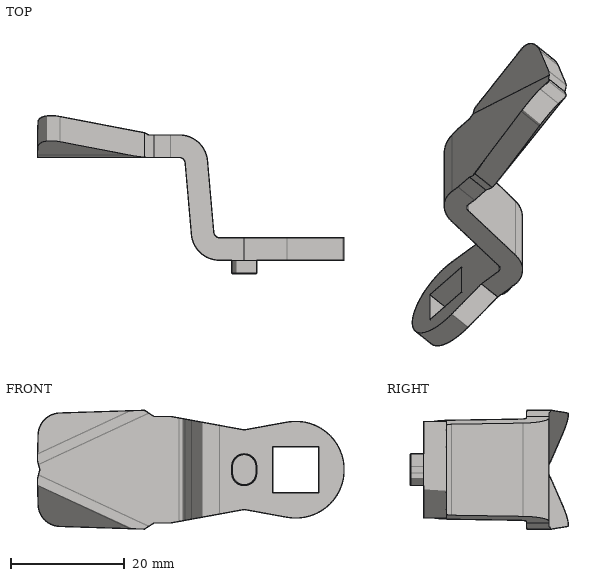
import cadquery as cq
import math

thickness = 4.0

hub_radius = 8.5
square_side = 8.05

waist_x = -9.05
waist_half = 7.0
neck_start_x = -22.0
neck_half = 9.4
shoulder_x = -24.9
wing_start_x = -26.6
wing_half = 10.45
tip_x = hub_radius - 53.95
tip_corner_x = tip_x + 0.2
tip_half = 9.85
tip_radius = 4.0

arm_front = 18.1
web_foot_x = -17.95
web_lean = math.radians(5)
inner_bend = 1.0
outer_bend = inner_bend + thickness

notch_depth = 0.45
notch_half = 1.6

fold_angle = 26
fold_direction = 25
fold_start_half = 0.8

pin_width = 4.4
pin_length = 5.6
pin_height = 2.4
pin_chamfer = 0.15


def extrude_back(sketch, start_y, depth):
    """Extrude an XZ sketch towards +Y, starting at start_y."""
    return sketch.extrude(-depth).translate((0, start_y, 0))


def strip_profile():
    """Constant-thickness crank seen along Z, with rounded bends."""
    web_top_x = web_foot_x - arm_front * math.tan(web_lean)
    web_width = thickness / math.cos(web_lean)
    lean_shift = thickness * math.tan(web_lean)
    front_top = (web_top_x, arm_front)
    back_top = (web_top_x - lean_shift + web_width, arm_front + thickness)
    front_foot = (web_foot_x, 0)
    back_foot = (web_foot_x - lean_shift + web_width, thickness)
    profile = (
        cq.Workplane("XY")
        .polyline([
            (shoulder_x, arm_front), front_top, front_foot, (hub_radius, 0),
            (hub_radius, thickness), back_foot, back_top, (shoulder_x, arm_front + thickness),
        ])
        .close()
        .extrude(wing_half, both=True)
    )
    for corner, radius in (
        (front_top, inner_bend),
        (back_foot, inner_bend),
        (back_top, outer_bend),
        (front_foot, outer_bend),
    ):
        edge = cq.selectors.NearestToPointSelector((*corner, 0))
        profile = profile.edges("|Z").edges(edge).fillet(radius)
    return profile


def strip_outline():
    """Symmetric XZ outline, from the notched tip to the round hub."""
    waist_distance = math.hypot(waist_x, waist_half)
    tangent_angle = math.atan2(waist_half, waist_x) - math.acos(hub_radius / waist_distance)
    tangent_x = hub_radius * math.cos(tangent_angle)
    tangent_z = hub_radius * math.sin(tangent_angle)
    upper = [
        (tip_x, notch_half),
        (tip_corner_x, tip_half),
        (wing_start_x, wing_half),
        (shoulder_x, neck_half),
        (neck_start_x, neck_half),
        (waist_x, waist_half),
        (tangent_x, tangent_z),
    ]
    lower = [(x, -z) for x, z in reversed(upper)]
    depth = arm_front + 3 * thickness
    outline = (
        cq.Workplane("XZ")
        .moveTo(tip_x + notch_depth, 0)
        .polyline(upper, includeCurrent=True)
        .threePointArc((hub_radius, 0), lower[0])
        .polyline(lower[1:], includeCurrent=True)
        .close()
    )
    prism = extrude_back(outline, 0, depth)
    for side in (1, -1):
        corner = cq.selectors.NearestToPointSelector((tip_corner_x, depth / 2, side * tip_half))
        prism = prism.edges("|Y").edges(corner).fillet(tip_radius)
    return prism


def folded_half(outline):
    """Upper half of the folded end: flat, bend and wing swept along the fold line."""
    reach = 53.95
    direction = math.radians(fold_direction)
    along = (math.cos(direction), 0, math.sin(direction))
    outward = (-math.sin(direction), 0, math.cos(direction))
    fold_plane = cq.Plane(
        origin=(tip_x, arm_front + thickness, fold_start_half), xDir=outward, normal=along
    )
    angle = math.radians(fold_angle)
    wing_x = reach * math.cos(angle)
    wing_y = -reach * math.sin(angle)
    front_x = thickness * math.sin(angle)
    front_y = thickness * math.cos(angle)
    arc_middle = (thickness * math.sin(angle / 2), thickness * math.cos(angle / 2))
    folded_slab = (
        cq.Workplane(fold_plane)
        .lineTo(wing_x, wing_y)
        .lineTo(wing_x + front_x, wing_y + front_y)
        .lineTo(front_x, front_y)
        .threePointArc(arc_middle, (0, thickness))
        .lineTo(-reach, thickness)
        .lineTo(-reach, 0)
        .close()
        .extrude(reach, both=True)
    )
    upper_end = cq.Workplane("XY").box(
        shoulder_x - tip_x, 2 * reach, wing_half, centered=False
    ).translate((tip_x, -reach, 0))
    return outline.intersect(upper_end).intersect(folded_slab)


def stop_pin():
    """Short slot-shaped pin, elongated along Z."""
    sketch = cq.Workplane("XZ").center(waist_x, 0).slot2D(pin_length, pin_width, 90)
    return sketch.extrude(pin_height).faces("<Y").chamfer(pin_chamfer)


outline = strip_outline()
strip = strip_profile().intersect(outline)
upper_end = folded_half(outline)
square_hole = extrude_back(cq.Workplane("XZ").rect(square_side, square_side), 0, thickness)
result = (
    strip.union(upper_end)
    .union(upper_end.mirror("XY"))
    .cut(square_hole)
    .union(stop_pin())
)